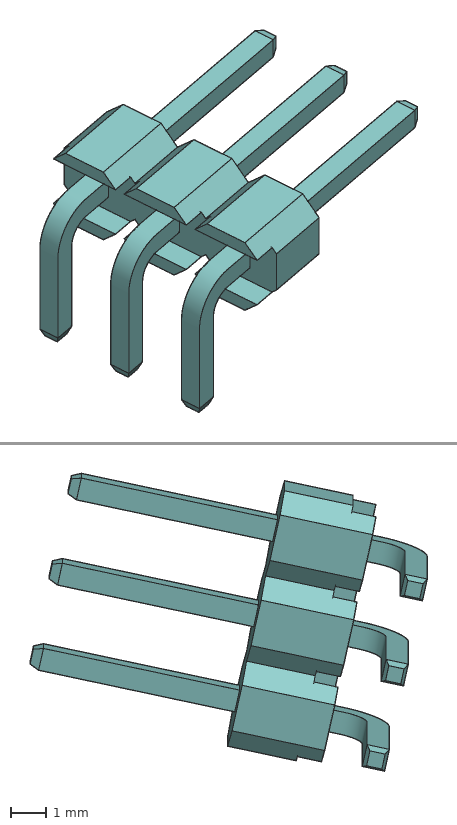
import cadquery as cq
import math

pin_count = 3
row_length = 7.62
pitch = row_length / pin_count

housing_height = 2.54
housing_front = 1.67
housing_depth = 2.7
flat_width = 1.36
recess_depth = 0.7
recess_height = 1.67

pin_width = 0.65
pin_length = 10.36
overall_height = 5.54
bottom_z = housing_height / 2 - overall_height
bend_radius = 1.33
tip_length = 0.27
tip_inset = 0.1
tip_taper = math.degrees(math.atan2(tip_inset, tip_length))

pin_positions = [(i - (pin_count - 1) / 2) * pitch for i in range(pin_count)]


def housing_cell(x):
    """Octagonal housing cell centred on one pin."""
    half_pitch = pitch / 2
    half_height = housing_height / 2
    half_flat = flat_width / 2
    outline = [
        (x - half_pitch, -half_flat),
        (x - half_flat, -half_height),
        (x + half_flat, -half_height),
        (x + half_pitch, -half_flat),
        (x + half_pitch, half_flat),
        (x + half_flat, half_height),
        (x - half_flat, half_height),
        (x - half_pitch, half_flat),
    ]
    start = cq.Workplane("XZ", origin=(0, housing_front, 0))
    return start.polyline(outline).close().extrude(-housing_depth)


def front_recess():
    """Full-length channel in the front of the housing, leaving a lip above and below."""
    return (
        cq.Workplane("XY")
        .box(row_length, recess_depth, recess_height)
        .translate((0, housing_front + recess_depth / 2, 0))
    )


def pin(x):
    """Square pin bent downwards at the front, with a tapered tip at each end."""
    half = pin_width / 2
    bend_z = half - bend_radius
    inner_radius = bend_radius - pin_width
    diagonal = math.sqrt(0.5)
    outer_mid = (bend_radius * (1 - diagonal), bend_z + bend_radius * diagonal)
    inner_mid = (bend_radius - inner_radius * diagonal, bend_z + inner_radius * diagonal)
    tail_end = bottom_z + tip_length
    mating_end = pin_length - tip_length

    shank = (
        cq.Workplane("YZ", origin=(x, 0, 0))
        .moveTo(0, tail_end)
        .lineTo(0, bend_z)
        .threePointArc(outer_mid, (bend_radius, half))
        .lineTo(mating_end, half)
        .lineTo(mating_end, -half)
        .lineTo(bend_radius, -half)
        .threePointArc(inner_mid, (pin_width, bend_z))
        .lineTo(pin_width, tail_end)
        .close()
        .extrude(half, both=True)
    )
    mating_tip = (
        cq.Workplane("XZ", origin=(x, mating_end, 0))
        .rect(pin_width, pin_width)
        .extrude(-tip_length, taper=tip_taper)
    )
    tail_tip = (
        cq.Workplane("XY", origin=(x, half, tail_end))
        .rect(pin_width, pin_width)
        .extrude(-tip_length, taper=tip_taper)
    )
    return shank.union(mating_tip).union(tail_tip)


housing = housing_cell(pin_positions[0])
for position in pin_positions[1:]:
    housing = housing.union(housing_cell(position))

result = housing.cut(front_recess())
for position in pin_positions:
    result = result.union(pin(position))